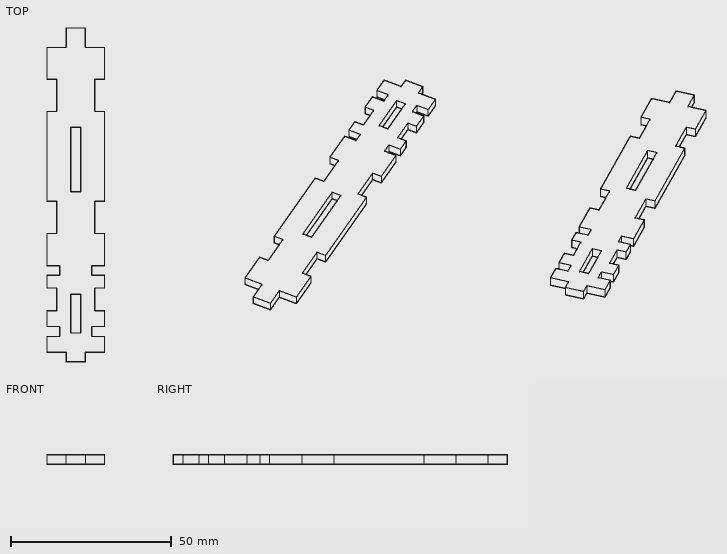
import cadquery as cq

length = 104.0
width = 18.0
thickness = 3.0

tab_width = 6.0
front_tab_length = thickness
rear_tab_length = 6.0

wide_neck = 12.0
narrow_neck = 10.0
shallow_notches = [(16.0, 23.0), (40.0, 50.0), (78.0, 88.0)]
deep_notches = [(8.0, 11.0), (27.0, 30.0)]

slot_width = thickness
slots = [(9.0, 21.0), (53.0, 73.0)]


def block(x_center, x_size, start, end):
    """Full-thickness block spanning start to end, measured from the front end."""
    y_center = (start + end - length) / 2
    return cq.Workplane("XY").box(x_size, end - start, thickness).translate((x_center, y_center, 0))


def cut_notch_pair(body, neck_width, start, end):
    """Cut matching notches into both sides, leaving a neck between them."""
    depth = (width - neck_width) / 2
    x_center = (width - depth) / 2
    for side in (-1, 1):
        body = body.cut(block(side * x_center, depth, start, end))
    return body


tongue = block(0, tab_width, 0, length)
result = tongue.union(block(0, width, front_tab_length, length - rear_tab_length))

for start, end in shallow_notches:
    result = cut_notch_pair(result, wide_neck, start, end)

for start, end in deep_notches:
    result = cut_notch_pair(result, narrow_neck, start, end)

for start, end in slots:
    result = result.cut(block(0, slot_width, start, end))